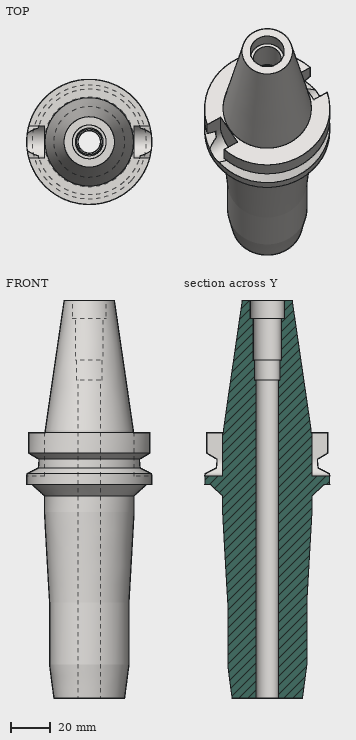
import cadquery as cq

total_length = 200.0

gauge_radius = 22.2
gauge_height = 134.7
taper_ratio = 7 / 24
shank_end_radius = gauge_radius - (total_length - gauge_height) * taper_ratio / 2

flange_diameter = 63.0
flange_radius = flange_diameter / 2
flange_top = 133.7
upper_rim_bottom = 123.3
groove_radius = 26.6
groove_top = 120.3
groove_bottom = 115.9
lower_rim_top = 113.0
lower_rim_bottom = 107.5
rim_ledge_width = 2.8

body_radius = 22.6
body_top = 101.9
body_taper_top = 93.6
nose_radius = 20.0
nose_top = 48.0
nose_chamfer_top = 16.8
nose_end_radius = 17.8

slot_width = 16.2
slot_floor_spacing = 45.0
slot_floor_offset = slot_floor_spacing / 2
slot_bottom = 111.9

mouth_diameter = 17.0
mouth_radius = mouth_diameter / 2
mouth_depth = 9.0
mouth_bottom = total_length - mouth_depth
thread_radius = 7.0
thread_depth = 30.0
thread_bottom = total_length - thread_depth
relief_radius = 6.5
relief_depth = 40.0
relief_bottom = total_length - relief_depth
through_radius = 5.6


def revolve_profile(points):
    """Turn (radius, height) points into a solid around the Z axis."""
    return cq.Workplane("XZ").polyline(points).close().revolve(360, (0, 0, 0), (0, 1, 0))


def make_body():
    return revolve_profile([
        (0, 0),
        (nose_end_radius, 0),
        (nose_radius, nose_chamfer_top),
        (nose_radius, nose_top),
        (body_radius, body_taper_top),
        (body_radius, body_top),
        (flange_radius - rim_ledge_width, lower_rim_bottom),
        (flange_radius, lower_rim_bottom),
        (flange_radius, lower_rim_top),
        (groove_radius, groove_bottom),
        (groove_radius, groove_top),
        (flange_radius, upper_rim_bottom),
        (flange_radius, flange_top),
        (gauge_radius, flange_top),
        (gauge_radius, gauge_height),
        (shank_end_radius, total_length),
        (0, total_length),
    ])


def make_bore():
    return revolve_profile([
        (0, 0),
        (through_radius, 0),
        (through_radius, relief_bottom),
        (relief_radius, relief_bottom),
        (relief_radius, thread_bottom),
        (thread_radius, thread_bottom),
        (thread_radius, mouth_bottom),
        (mouth_radius, mouth_bottom),
        (mouth_radius, total_length),
        (0, total_length),
    ])


def make_slot(side):
    """Slot cutter on the +X (side = 1) or -X (side = -1) flank."""
    half_width = slot_width / 2
    arc_height = slot_bottom + half_width
    return (
        cq.Workplane("YZ", origin=(side * slot_floor_offset, 0, 0))
        .moveTo(-half_width, flange_top)
        .lineTo(-half_width, arc_height)
        .threePointArc((0, slot_bottom), (half_width, arc_height))
        .lineTo(half_width, flange_top)
        .close()
        .extrude(side * flange_radius)
    )


result = make_body().cut(make_bore())
for side in (-1, 1):
    result = result.cut(make_slot(side))